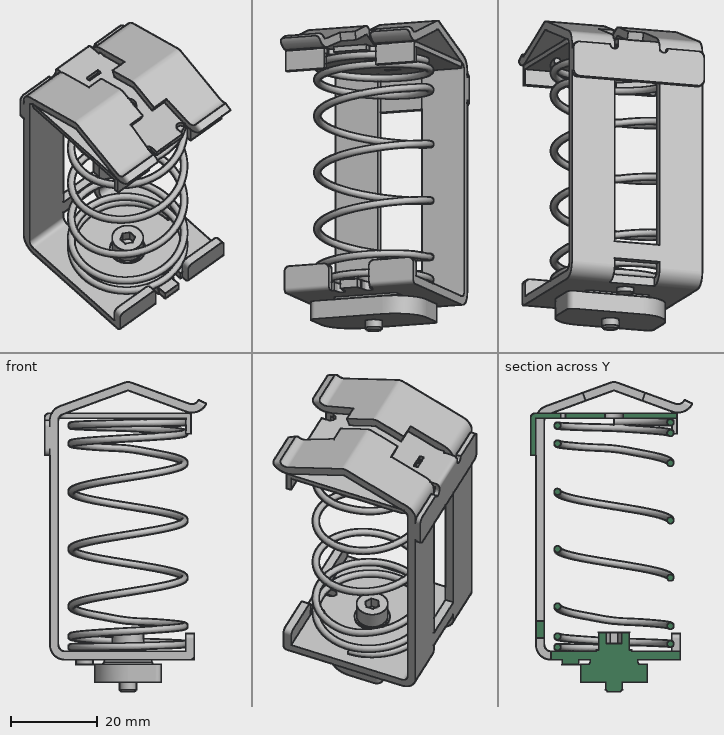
import cadquery as cq
import math


width = 32.0
sheet = 2.0
wall_outer_x = -18.0
bend_radius = 3.5
roof_slope = math.radians(20)
roof_peak_z = 64.0
hook_start_x = 14.1
hook_inner_radius = 1.75
hook_angle = math.radians(64)
hook_corner_radius = 0.9

window_width = 11.0
window_bottom_z = 9.0
roof_notch_x = 7.2
roof_gap_width = 3.5
roof_mouth_width = 13.0
roof_mouth_x = 20.0
bend_slot_top_z = 5.0

lip_inner_x = 13.3
lip_outer_x = lip_inner_x + sheet
lip_height = 6.1
lip_corner_radius = 1.2
lip_bend_radius = 1.0
lip_inner_y = 5.0
tongue_width = 4.2
tongue_slot_radius = 1.0
tongue_slot_x = 11.6
tongue_slot_y = 3.4

relief_x = 12.6
relief_y = 5.1
relief_radius = 1.0

plate = 1.2
plate_bottom_z = 55.6
plate_top_z = plate_bottom_z + plate
plate_back_x = -15.7
plate_front_x = 14.55
plate_corner_radius = 1.4
plate_hole_radius = 2.05
neck_width = 10.1
neck_bend_radius = 1.08
tab_width = 8.0
plate_lip_bottom_z = 52.0
plate_lip_inner_y = 6.4
plate_lip_bend_radius = 0.6
slot_size = (1.0, 3.5)
slot_x = -11.7
flange_bottom_z = 47.1
flange_top_z = 55.2
flange_corner_radius = 1.4
flange_relief_y = 6.05

coil_radius = 13.0
wire_radius = 0.8
seat_overlap = 0.05
points_per_turn = 16
end_turns = 3.5
coil_rise = [(0.0, 0.0), (1.5, 19.8), (2.0, 22.2), (2.5, 24.6), (3.0, 25.7)]

nut_half_width = 7.7
nut_half_length = 13.0
nut_corner_radius = 1.4
turning_clearance = 0.01
nut_top_z = -1.0
nut_bottom_z = -5.2
collar_size = (11.0, 15.5)
collar_corner_radius = 0.6
collar_foot_height = 0.5
collar_foot_flare = 0.3
screw_radius = 2.0
screw_end_z = -7.35
screw_chamfer = 0.5
washer_radius = 4.1
washer_thickness = 0.3
head_radius = 3.6
head_top_z = 6.3
socket_across_flats = 3.0
socket_depth = 2.5
stud_x = -10.0
stud_radius = 2.0
stud_length = 1.1


def box(x_range, y_range, z_range):
    size = [high - low for low, high in (x_range, y_range, z_range)]
    corner = (x_range[0], y_range[0], z_range[0])
    return cq.Workplane("XY").box(*size, centered=False).translate(corner)


def centred_box(x_range, y_width, z_range):
    return box(x_range, (-y_width / 2, y_width / 2), z_range)


def cylinder(x, y, radius, bottom_z, top_z):
    return cq.Workplane("XY", origin=(x, y, bottom_z)).circle(radius).extrude(top_z - bottom_z)


def polar(centre, radius, angle):
    return (centre[0] + radius * math.cos(angle), centre[1] + radius * math.sin(angle))


def bracket_strip():
    """Base, wall, gabled roof and hook as one bent strip."""
    inner_bend = bend_radius - sheet
    inner_peak = (0, roof_peak_z - sheet)
    bend_x = wall_outer_x + bend_radius
    base_bend = (bend_x, bend_radius)

    tangent_x = bend_x - bend_radius * math.sin(roof_slope)
    tangent_z = roof_top_z(tangent_x)
    roof_bend = (bend_x, tangent_z - bend_radius * math.cos(roof_slope))
    slope_normal = math.pi / 2 + roof_slope
    bend_middle = (math.pi + slope_normal) / 2

    hook_start = (hook_start_x, roof_top_z(hook_start_x))
    hook_centre = polar(hook_start, hook_inner_radius, math.pi / 2 - roof_slope)
    hook_outer_radius = hook_inner_radius + sheet
    hook_from = -math.pi / 2 - roof_slope
    hook_to = -math.pi / 2 + hook_angle
    hook_middle = (hook_from + hook_to) / 2
    down_left = math.radians(225)

    outline = (
        cq.Workplane("XZ", origin=(0, width / 2, 0))
        .moveTo(lip_inner_x, 0)
        .lineTo(bend_x, 0)
        .threePointArc(polar(base_bend, bend_radius, down_left), (wall_outer_x, bend_radius))
        .lineTo(wall_outer_x, roof_bend[1])
        .threePointArc(
            polar(roof_bend, bend_radius, bend_middle), polar(roof_bend, bend_radius, slope_normal)
        )
        .lineTo(*polar(inner_peak, sheet, slope_normal))
        .threePointArc((0, roof_peak_z), polar(inner_peak, sheet, math.pi - slope_normal))
        .lineTo(*hook_start)
        .threePointArc(
            polar(hook_centre, hook_inner_radius, hook_middle),
            polar(hook_centre, hook_inner_radius, hook_to),
        )
        .lineTo(*polar(hook_centre, hook_outer_radius, hook_to))
        .threePointArc(
            polar(hook_centre, hook_outer_radius, hook_middle),
            polar(hook_centre, hook_outer_radius, hook_from),
        )
        .lineTo(*inner_peak)
        .lineTo(*polar(roof_bend, inner_bend, slope_normal))
        .threePointArc(
            polar(roof_bend, inner_bend, bend_middle), (wall_outer_x + sheet, roof_bend[1])
        )
        .lineTo(wall_outer_x + sheet, bend_radius)
        .threePointArc(polar(base_bend, inner_bend, down_left), (bend_x, sheet))
        .lineTo(lip_inner_x, sheet)
        .close()
    )
    return outline.extrude(width)


def roof_top_z(x):
    """Height of the outer roof slope, leaving out the rounding of the ridge."""
    return roof_peak_z - sheet + sheet / math.cos(roof_slope) - abs(x) * math.tan(roof_slope)


def roof_notch(bottom_z):
    """Prism from the back of the part to the roof, ending square to the left slope."""
    notch = (-roof_notch_x, roof_top_z(roof_notch_x))
    below = polar(notch, 2 * sheet, roof_slope - math.pi / 2)
    above = polar(notch, sheet, roof_slope + math.pi / 2)
    back_x = wall_outer_x - 2 * sheet
    corners = [(back_x, bottom_z), (below[0], bottom_z), below, above, (back_x, above[1])]
    side = cq.Workplane("XZ", origin=(0, width / 2, 0))
    return side.polyline(corners).close().extrude(width)


def wall_window():
    """Window through the wall that runs on into the roof."""
    strip = centred_box((-width, 0), window_width, (0, roof_peak_z))
    return roof_notch(window_bottom_z).intersect(strip)


def roof_mouth():
    """Flared opening between the two hooks."""
    corners = [
        (0, -window_width / 2),
        (roof_notch_x, -window_width / 2),
        (roof_mouth_x, -roof_mouth_width / 2),
        (roof_mouth_x, roof_mouth_width / 2),
        (roof_notch_x, window_width / 2),
        (0, window_width / 2),
    ]
    flare = cq.Workplane("XY").polyline(corners).close().extrude(roof_peak_z)
    return roof_notch(plate_top_z).mirror("YZ").intersect(flare)


def tongue_slot(side):
    """Round-ended slot beside the tongue, open at the front edge."""
    centre_y = side * tongue_slot_y
    slot_y = (centre_y - tongue_slot_radius, centre_y + tongue_slot_radius)
    slot = box((tongue_slot_x, lip_outer_x), slot_y, (0, sheet))
    return slot.union(cylinder(tongue_slot_x, centre_y, tongue_slot_radius, 0, sheet))


def front_lip(side):
    """Upturned lip on one half of the front edge, rounded along its underside bend."""
    y_range = sorted((side * lip_inner_y, side * width / 2))
    lip = box((lip_inner_x, lip_outer_x), y_range, (0, lip_height))
    lip = lip.edges("|X and >Z").fillet(lip_corner_radius)
    return lip.edges("|Y and <Z and >X").fillet(lip_bend_radius)


def bracket():
    bend_range = (wall_outer_x - sheet, wall_outer_x + bend_radius)
    body = (
        bracket_strip()
        .cut(wall_window())
        .cut(centred_box((-width, width), roof_gap_width, (plate_top_z, roof_peak_z + sheet)))
        .cut(roof_mouth())
        .cut(centred_box(bend_range, window_width, (-sheet, bend_slot_top_z)))
    )
    tip_direction = cq.Vector(math.cos(hook_angle), 0, math.sin(hook_angle))
    tips = body.faces(cq.DirectionMinMaxSelector(tip_direction, True))
    body = tips.edges("not |Y").fillet(hook_corner_radius)

    body = body.union(centred_box((lip_inner_x - sheet, lip_outer_x), tongue_width, (0, sheet)))
    for side in (-1, 1):
        body = body.cut(tongue_slot(side))
        body = body.union(front_lip(side))
    return body


def saddle_flange():
    """Flange hooked over the outside of the wall, with bend reliefs beside the neck."""
    x_range = (wall_outer_x - plate, wall_outer_x)
    flange = centred_box(x_range, width, (flange_bottom_z, flange_top_z))
    flange = flange.edges("|X").fillet(flange_corner_radius)
    for side in (-1, 1):
        relief = (
            cq.Workplane("YZ", origin=(x_range[0], side * flange_relief_y, flange_top_z))
            .circle(relief_radius)
            .extrude(plate)
        )
        flange = flange.cut(relief)
    return flange


def saddle():
    plate_range = (plate_bottom_z, plate_top_z)
    lip_x = plate_front_x - plate
    body = centred_box((plate_back_x, lip_x), width, plate_range)
    body = body.edges("|Z and <X").fillet(plate_corner_radius)
    body = body.union(centred_box((relief_x, plate_front_x), tab_width, plate_range))

    for side in (-1, 1):
        body = body.cut(cylinder(relief_x, side * relief_y, relief_radius, *plate_range))
        gap = sorted((side * tab_width / 2, side * plate_lip_inner_y))
        body = body.cut(box((relief_x, plate_front_x), gap, plate_range))
        lip_y = sorted((side * plate_lip_inner_y, side * width / 2))
        lip = box((lip_x, plate_front_x), lip_y, (plate_lip_bottom_z, plate_top_z))
        body = body.union(lip.edges("|Y and >Z and >X").fillet(plate_lip_bend_radius))

    neck = centred_box((wall_outer_x - plate, plate_back_x + sheet), neck_width, plate_range)
    neck = neck.edges("|Y and >Z and <X").fillet(neck_bend_radius)
    neck_drop = centred_box(
        (wall_outer_x - plate, wall_outer_x), neck_width, (flange_top_z - relief_radius, plate_bottom_z)
    )
    slot_range = (slot_x - slot_size[0] / 2, slot_x + slot_size[0] / 2)
    return (
        body.union(neck)
        .union(neck_drop)
        .union(saddle_flange())
        .cut(centred_box(slot_range, slot_size[1], plate_range))
        .cut(cylinder(0, 0, plate_hole_radius, *plate_range))
    )


def coil_height(turn, rises):
    """Height above the middle of the spring, interpolated along the coil."""
    distance = abs(turn)
    for (turn_a, rise_a), (turn_b, rise_b) in zip(rises, rises[1:]):
        if distance <= turn_b:
            break
    rise = rise_a + (rise_b - rise_a) * (distance - turn_a) / (turn_b - turn_a)
    return math.copysign(rise, turn)


def spring():
    """Right-handed compression spring, closely wound at both ends."""
    middle_z = (sheet + plate_bottom_z) / 2
    end_rise = plate_bottom_z - wire_radius + seat_overlap - middle_z
    rises = coil_rise + [(end_turns, end_rise)]
    points = []
    for step in range(int(2 * end_turns * points_per_turn) + 1):
        turn = step / points_per_turn - end_turns
        x, y = polar((0, 0), coil_radius, 2 * math.pi * turn - math.pi / 2)
        points.append(cq.Vector(x, y, middle_z + coil_height(turn, rises)))
    path = cq.Edge.makeSpline(points)
    section = cq.Workplane(cq.Plane(path.startPoint(), normal=path.tangentAt(0))).circle(wire_radius)
    return section.sweep(cq.Workplane(obj=path), isFrenet=True)


def channel_nut():
    """Twist-in nut: two opposite corners fully rounded so that it can turn in the channel."""
    nut = centred_box((-nut_half_width, nut_half_width), 2 * nut_half_length, (nut_bottom_z, nut_top_z))
    turning_radius = nut_half_width - turning_clearance
    nut = nut.edges("(|Z and <X and <Y) or (|Z and >X and >Y)").fillet(turning_radius)
    return nut.edges("(|Z and <X and >Y) or (|Z and >X and <Y)").fillet(nut_corner_radius)


def collar():
    """Rectangular collar on the nut, flaring out at its foot."""
    outline = cq.Sketch().rect(*collar_size).vertices().fillet(collar_corner_radius)
    taper = math.degrees(math.atan2(collar_foot_flare, collar_foot_height))
    neck = cq.Workplane("XY", origin=(0, 0, nut_top_z)).placeSketch(outline).extrude(-nut_top_z)
    foot_top = cq.Workplane("XY", origin=(0, 0, nut_top_z + collar_foot_height))
    foot = foot_top.placeSketch(outline).extrude(-collar_foot_height, taper=-taper)
    return neck.union(foot)


def fastening():
    shank = cylinder(0, 0, screw_radius, screw_end_z, sheet).faces("<Z").chamfer(screw_chamfer)
    washer = cylinder(0, 0, washer_radius, sheet, sheet + washer_thickness)
    head = cylinder(0, 0, head_radius, sheet, head_top_z)
    socket = (
        cq.Workplane("XY", origin=(0, 0, head_top_z))
        .polygon(6, socket_across_flats / math.cos(math.pi / 6))
        .extrude(-socket_depth)
    )
    stud = cylinder(stud_x, 0, stud_radius, -stud_length, sheet)
    screw = shank.union(head.cut(socket))
    return channel_nut().union(collar()).union(screw).union(washer).union(stud)


result = bracket().union(saddle()).union(fastening()).union(spring())